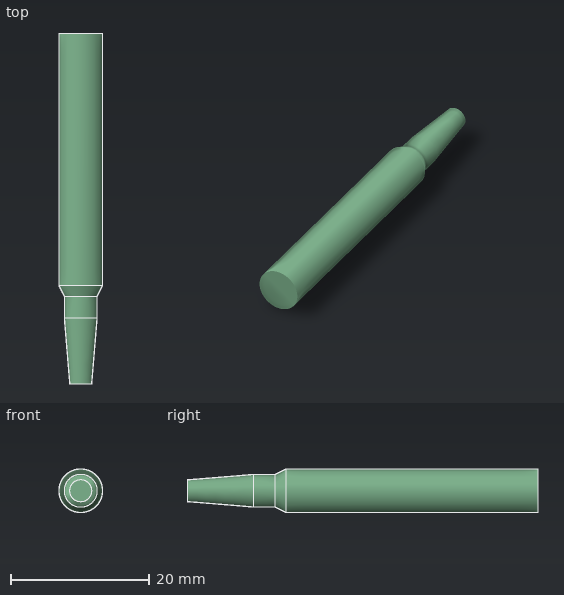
import cadquery as cq

overall_length = 50.8
cutter_length = 9.55
neck_length = 3.15
shoulder_length = 1.6

shank_diameter = 6.35
neck_diameter = 4.8
tip_diameter = 3.2

tip_y = -overall_length / 2
cutter_back_y = tip_y + cutter_length
neck_back_y = cutter_back_y + neck_length
shoulder_back_y = neck_back_y + shoulder_length
shank_back_y = overall_length / 2


def revolve_profile(stations):
    """Revolve a solid about Y from (diameter, y) stations listed front to back."""
    front_y = stations[0][1]
    back_y = stations[-1][1]
    outline = [(0, front_y)]
    outline += [(diameter / 2, y) for diameter, y in stations]
    outline += [(0, back_y)]
    return cq.Workplane("XY").polyline(outline).close().revolve(360, (0, 0), (0, 1))


def make_cutter():
    """Tapered cutting end, narrowing to a flat tip."""
    return revolve_profile([
        (tip_diameter, tip_y),
        (neck_diameter, cutter_back_y),
    ])


def make_shank():
    """Straight shank with a conical shoulder and a reduced neck."""
    return revolve_profile([
        (neck_diameter, cutter_back_y),
        (neck_diameter, neck_back_y),
        (shank_diameter, shoulder_back_y),
        (shank_diameter, shank_back_y),
    ])


cutter = make_cutter()
shank = make_shank()

result = cq.Compound.makeCompound([cutter.val(), shank.val()])